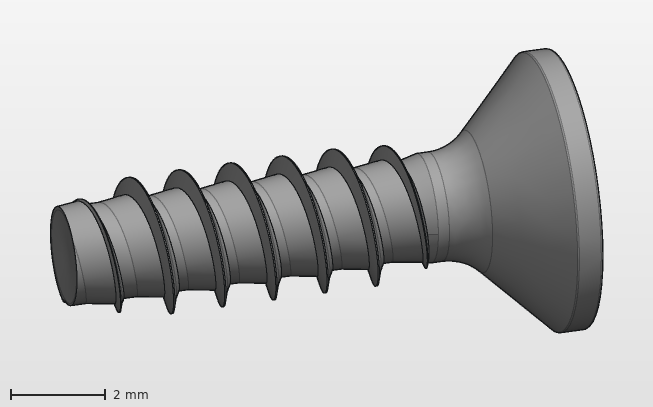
import cadquery as cq
import math


screw_length = 11.0
head_radius = 3.0
rim_height = 0.55
rim_edge_radius = 0.05
countersink_half_angle = 45.0
neck_radius = 1.17
neck_fillet = 1.2
neck_end = 3.12

core_radius = 1.045
core_cone_length = 0.46
core_cone_overrun = 1.4
tip_recess_radius = 1.0
tip_recess_depth = 0.08
tip_allowance = 2.0

pitch = 1.12
crest_radius = 1.5
faded_crest_radius = 1.09
fade_slope = 0.28
full_thread_start = 4.08
full_thread_end = 9.35
helix_origin = 2.875
start_angle = 180.0
first_turn = -1
last_turn = 8
points_per_turn = 36

level_crest_gap = 0.02
thread_start_turn = -0.06
thread_rise_turns = 0.04
level_run_in_turns = 0.25

crest_half_width = 0.015
head_flank_foot = -0.22
head_flank_bend = -0.12
head_flank_bend_height = 0.17
tip_flank_foot = 0.12

swell_radius = 1.13
swell_end = 0.70


def revolve_about_y(outline):
    """Solid of revolution about the screw axis."""
    return outline.close().revolve(360, (0, 0, 0), (0, 1, 0))


def make_head():
    """Head and neck, ending in the cone that narrows to the core."""
    slope = math.radians(countersink_half_angle)
    fillet_top_radius = neck_radius + neck_fillet * (1 - math.cos(slope))
    fillet_top = rim_height + (head_radius - fillet_top_radius) / math.tan(slope)
    fillet_end = fillet_top + neck_fillet * math.sin(slope)
    half_slope = slope / 2
    fillet_mid = (
        neck_radius + neck_fillet * (1 - math.cos(half_slope)),
        -fillet_end + neck_fillet * math.sin(half_slope),
    )
    cone_end = neck_end + core_cone_length * core_cone_overrun
    cone_end_radius = neck_radius - (neck_radius - core_radius) * core_cone_overrun
    outline = (
        cq.Workplane("XY")
        .moveTo(0, 0)
        .lineTo(head_radius, 0)
        .lineTo(head_radius, -rim_height)
        .lineTo(fillet_top_radius, -fillet_top)
        .threePointArc(fillet_mid, (neck_radius, -fillet_end))
        .lineTo(neck_radius, -neck_end)
        .lineTo(cone_end_radius, -cone_end)
        .lineTo(0, -cone_end)
    )
    rim_edges = cq.selectors.BoxSelector(
        (-head_radius, -rim_height - rim_edge_radius, -head_radius),
        (head_radius, rim_edge_radius, head_radius),
        boundingbox=False,
    )
    return revolve_about_y(outline).edges(rim_edges).edges("%CIRCLE").fillet(rim_edge_radius)


def ramp_up(value, end, length):
    """Rise from 0 to 1 over the given length, ending at the given value."""
    return min(max((value - end) / length + 1, 0), 1)


def crest_at(turn):
    """Depth below the head face and radius of the crest, fading at both ends of the thread."""
    depth = helix_origin + pitch * turn
    level_shift = max(neck_end + level_crest_gap - depth, 0)
    depth += level_shift * ramp_up(turn, thread_start_turn - thread_rise_turns, level_run_in_turns)
    fade_length = max(full_thread_start - depth, depth - full_thread_end, 0)
    height = max(crest_radius - fade_slope * fade_length - faded_crest_radius, 0)
    return depth, faded_crest_radius + height * ramp_up(turn, thread_start_turn, thread_rise_turns)


def section_at(turn):
    """One pitch of the thread section as (depth, radius), from swell end to swell end."""
    helix_depth = helix_origin + pitch * turn
    depth, crest = crest_at(turn)
    size = (crest - core_radius) / (crest_radius - core_radius)
    return [
        (helix_depth + swell_end - pitch, core_radius),
        (depth + head_flank_foot * size, core_radius),
        (depth + head_flank_bend * size, core_radius + head_flank_bend_height * size),
        (depth - crest_half_width * size, crest),
        (depth + crest_half_width * size, crest),
        (depth + tip_flank_foot * size, swell_radius),
        (helix_depth + swell_end, core_radius),
    ]


def section_points(turn):
    """Section points in space, turned about the axis as a right-handed helix."""
    angle = math.radians(start_angle) + 2 * math.pi * turn
    return [
        cq.Vector(radius * math.cos(angle), -depth, radius * math.sin(angle))
        for depth, radius in section_at(turn)
    ]


def axis_point(point):
    """Foot of the perpendicular from a point to the screw axis."""
    return cq.Vector(0, point.y, 0)


def cover_helix(helix):
    """Helicoid face between a helix and the screw axis."""
    axis_edge = cq.Edge.makeLine(axis_point(helix.startPoint()), axis_point(helix.endPoint()))
    return cq.Face.makeRuledSurface(helix, axis_edge)


def cover_section(turn):
    """Flat face between the thread section and the screw axis."""
    points = section_points(turn)
    corners = [axis_point(points[0])] + points + [axis_point(points[-1])]
    return cq.Face.makeFromWires(cq.Wire.makePolygon(corners, close=True))


def make_threaded_shank():
    """Core and thread in one, skinned turn by turn with ruled faces between helices."""
    faces = [cover_section(first_turn), cover_section(last_turn)]
    for turn in range(first_turn, last_turn):
        rows = [section_points(turn + i / points_per_turn) for i in range(points_per_turn + 1)]
        helices = [cq.Edge.makeSpline(list(column)) for column in zip(*rows)]
        faces += [cq.Face.makeRuledSurface(a, b) for a, b in zip(helices, helices[1:])]
        if turn == first_turn:
            faces.append(cover_helix(helices[0]))
        if turn == last_turn - 1:
            faces.append(cover_helix(helices[-1]))
    solid = cq.Solid.makeSolid(cq.Shell.makeShell(faces))
    return cq.Workplane(solid.fix())


def make_tip_cutter():
    """Everything beyond the tip, with the cone that leaves the recess in the end face."""
    outline = (
        cq.Workplane("XY")
        .moveTo(0, -screw_length + tip_recess_depth)
        .lineTo(tip_recess_radius, -screw_length)
        .lineTo(head_radius, -screw_length)
        .lineTo(head_radius, -screw_length - tip_allowance)
        .lineTo(0, -screw_length - tip_allowance)
    )
    return revolve_about_y(outline)


result = make_head().union(make_threaded_shank()).cut(make_tip_cutter())